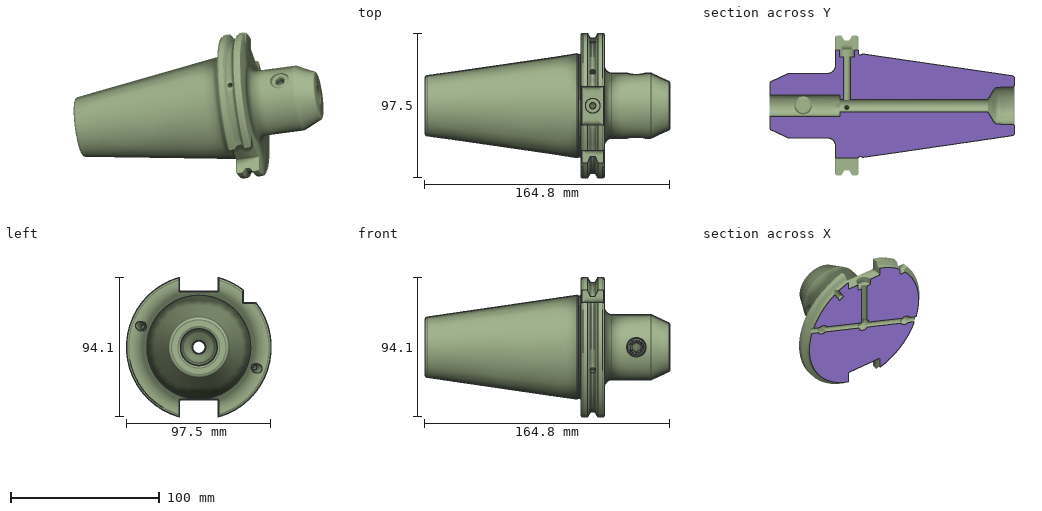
import cadquery as cq
import math


gauge_radius = 69.85 / 2
taper_length = 101.75
taper_slope = 7 / 48
tail_x = -taper_length
tail_radius = gauge_radius - taper_slope * taper_length
tail_fillet = 2.0
neck_start_x = 0.6
neck_radius = gauge_radius - 0.5
neck_groove_x = 1.6
neck_root_fillet = 0.6

flange_radius = 97.5 / 2
flange_front_x = 3.2
flange_back_x = 19.1
flange_edge_fillet = 1.5
groove_x = 11.15
groove_half_width = 3.5
groove_half_angle = math.radians(30)
groove_root_radius = 45.5
groove_root_fillet = 1.1

slot_width = 25.7
slot_floor_top = 37.7
slot_floor_bottom = 35.5
notch_corner = 30.0
cutout_chamfer = 0.6
cutout_corner_fillet = 0.5

pocket_diameter = 10.0
pocket_depth = 4.6
pocket_passage_diameter = 4.2

coolant_diameter = 6.3
coolant_radius = 41.5
coolant_angle = 20.0
coolant_tilt = 32.0
coolant_depth = 12.0
cross_hole_diameter = 3.6
balance_hole_angle = 60.0
balance_hole_depth = 8.0

nose_radius = 22.0
nose_end_x = 63.0
nose_blend = 4.85
nose_cone_x = 50.3
nose_cone_angle = math.radians(25)
nose_edge_blend = 1.5
nose_end_fillet = 1.2

cutter_overshoot = 1.0

tail_bore_radius = 12.5
tail_mouth_fillet = 1.5
tail_bore_length = 9.5
inner_bore_radius = 12.2
inner_bore_length = 3.0
drill_radius = 10.5
drill_point_angle = math.radians(59)
drill_tip_radius = 4.7
passage_radius = 4.1
tool_bore_radius = 7.0
tool_bore_length = 47.0

screw_x = nose_end_x - 22.5
screw_radius = 6.0
screw_outer_y = -21.3
screw_chamfer = 1.0
hexagon_width = 6.0
hexagon_depth = 6.0
hexagon_lead_in = 0.6
screw_mouth_radius = 6.5
screw_mouth_depth = 2.0
relief_depth = 3.0


def revolve_about_x(outline):
    """Turn a closed outline, drawn as (x, radius), a full turn about the X axis."""
    return outline.close().revolve(360, (0, 0, 0), (1, 0, 0))


def arc_middle(center, radius, degrees):
    """Point on an arc, used as the middle point of a quarter-circle fillet."""
    turn = math.radians(degrees)
    return (center[0] + radius * math.cos(turn), center[1] + radius * math.sin(turn))


def radial_hole(angle, inner_radius, outer_radius, diameter):
    """Cylinder in the V-groove plane; the angle is measured from +Y towards +Z."""
    direction = cq.Vector(0, math.cos(math.radians(angle)), math.sin(math.radians(angle)))
    start = cq.Vector(groove_x, 0, 0) + direction * inner_radius
    return cq.Workplane(cq.Solid.makeCylinder(diameter / 2, outer_radius - inner_radius, start, direction))


def taper():
    root_center = (flange_front_x - neck_root_fillet, neck_radius + neck_root_fillet)
    outline = (
        cq.Workplane("XZ")
        .moveTo(tail_x, 0)
        .lineTo(tail_x, tail_radius)
        .lineTo(neck_start_x, gauge_radius + taper_slope * neck_start_x)
        .lineTo(neck_groove_x, neck_radius)
        .lineTo(root_center[0], neck_radius)
        .threePointArc(arc_middle(root_center, neck_root_fillet, -45), (flange_front_x, root_center[1]))
        .lineTo(flange_front_x, 0)
    )
    return revolve_about_x(outline).faces("<X").edges().fillet(tail_fillet)


def flange():
    outline = (
        cq.Workplane("XZ")
        .moveTo(flange_front_x, 0)
        .lineTo(flange_front_x, flange_radius)
        .lineTo(flange_back_x, flange_radius)
        .lineTo(flange_back_x, 0)
    )
    disc = revolve_about_x(outline).edges().fillet(flange_edge_fillet)
    return disc.cut(v_groove()).cut(cutouts())


def v_groove():
    root_half_width = groove_half_width - (flange_radius - groove_root_radius) * math.tan(groove_half_angle)
    top_half_width = groove_half_width + cutter_overshoot * math.tan(groove_half_angle)
    outline = (
        cq.Workplane("XZ")
        .moveTo(groove_x - root_half_width, groove_root_radius)
        .lineTo(groove_x - top_half_width, flange_radius + cutter_overshoot)
        .lineTo(groove_x + top_half_width, flange_radius + cutter_overshoot)
        .lineTo(groove_x + root_half_width, groove_root_radius)
    )
    root = cq.selectors.RadiusNthSelector(0)
    return revolve_about_x(outline).edges(root).fillet(groove_root_fillet)


def cutout(y_min, y_max, z_min, z_max):
    """Rounded box through the flange along X, widened by a chamfer at both flange faces."""

    def section(x):
        return (
            cq.Workplane("YZ", origin=(x, 0, 0))
            .center((y_min + y_max) / 2, (z_min + z_max) / 2)
            .sketch()
            .rect(y_max - y_min, z_max - z_min)
            .vertices()
            .fillet(cutout_corner_fillet)
            .finalize()
        )

    box = section(flange_front_x).extrude(flange_back_x - flange_front_x)
    front_chamfer = section(flange_front_x + cutout_chamfer).extrude(-cutout_chamfer, taper=-45)
    back_chamfer = section(flange_back_x - cutout_chamfer).extrude(cutout_chamfer, taper=-45)
    return box.union(front_chamfer).union(back_chamfer)


def cutouts():
    beyond = flange_radius + cutter_overshoot
    top_slot = cutout(-slot_width / 2, slot_width / 2, slot_floor_top, beyond)
    bottom_slot = cutout(-slot_width / 2, slot_width / 2, -beyond, -slot_floor_bottom)
    notch = cutout(-beyond, -notch_corner, notch_corner, beyond)
    return top_slot.union(bottom_slot).union(notch)


def nose():
    end_radius = nose_radius - (nose_end_x - nose_cone_x) * math.tan(nose_cone_angle)
    blend_center = (flange_back_x + nose_blend, nose_radius + nose_blend)
    outline = (
        cq.Workplane("XZ")
        .moveTo(flange_back_x, 0)
        .lineTo(flange_back_x, blend_center[1])
        .threePointArc(arc_middle(blend_center, nose_blend, 225), (blend_center[0], nose_radius))
        .lineTo(nose_cone_x, nose_radius)
        .lineTo(nose_end_x, end_radius)
        .lineTo(nose_end_x, 0)
    )
    reach = nose_radius + cutter_overshoot
    cone_edge = cq.selectors.BoxSelector(
        (nose_cone_x - nose_edge_blend, -reach, -reach),
        (nose_cone_x + nose_edge_blend, reach, reach),
        boundingbox=True,
    )
    body = revolve_about_x(outline).faces(">X").edges().fillet(nose_end_fillet)
    return body.edges(cone_edge).fillet(nose_edge_blend)


def axial_bores():
    mouth_center = (tail_x + tail_mouth_fillet, tail_bore_radius + tail_mouth_fillet)
    inner_bore_x = tail_x + tail_bore_length
    chamfer_x = inner_bore_x + inner_bore_length
    drill_x = chamfer_x + inner_bore_radius - drill_radius
    passage_x = drill_x + (drill_radius - drill_tip_radius) / math.tan(drill_point_angle)
    tool_bore_x = nose_end_x - tool_bore_length
    outline = (
        cq.Workplane("XZ")
        .moveTo(tail_x, 0)
        .lineTo(tail_x, mouth_center[1])
        .threePointArc(arc_middle(mouth_center, tail_mouth_fillet, 225), (mouth_center[0], tail_bore_radius))
        .lineTo(inner_bore_x, tail_bore_radius)
        .lineTo(inner_bore_x, inner_bore_radius)
        .lineTo(chamfer_x, inner_bore_radius)
        .lineTo(drill_x, drill_radius)
        .lineTo(passage_x, drill_tip_radius)
        .lineTo(passage_x, passage_radius)
        .lineTo(tool_bore_x, passage_radius)
        .lineTo(tool_bore_x, tool_bore_radius)
        .lineTo(nose_end_x, tool_bore_radius)
        .lineTo(nose_end_x, 0)
    )
    return revolve_about_x(outline)


def data_pocket():
    pocket = (
        cq.Workplane("XY", origin=(groove_x, 0, slot_floor_top))
        .circle(pocket_diameter / 2)
        .extrude(-pocket_depth)
    )
    return pocket.union(radial_hole(90, 0, slot_floor_top, pocket_passage_diameter))


def coolant_hole(angle):
    """Blind hole from the flange face, leaning towards the axis, with its cross hole from the groove."""
    turn = math.radians(angle)
    tilt = math.radians(coolant_tilt)
    outward = cq.Vector(0, math.cos(turn), math.sin(turn))
    direction = cq.Vector(math.cos(tilt), 0, 0) - outward * math.sin(tilt)
    mouth = cq.Vector(flange_front_x, 0, 0) + outward * coolant_radius
    radius = coolant_diameter / 2
    start = mouth - direction * radius
    leaning = cq.Workplane(cq.Solid.makeCylinder(radius, coolant_depth + radius, start, direction))
    return leaning.union(radial_hole(angle, 0, flange_radius, cross_hole_diameter))


def screw_hole():
    """Screw hole on the -Y side with a wider mouth, and a matching shallow relief on the +Y side."""
    hole = cq.Workplane("XZ", origin=(screw_x, 0, 0)).circle(screw_radius).extrude(nose_radius)
    mouth = (
        cq.Workplane("XZ", origin=(screw_x, -nose_radius, 0))
        .circle(screw_mouth_radius)
        .extrude(-screw_mouth_depth)
    )
    relief = (
        cq.Workplane("XZ", origin=(screw_x, nose_radius, 0))
        .circle(screw_mouth_radius)
        .extrude(relief_depth)
    )
    return hole.union(mouth).union(relief)


def make_holder():
    body = taper().union(flange()).union(nose())
    body = body.cut(axial_bores()).cut(data_pocket())
    for angle in (coolant_angle, coolant_angle + 180):
        body = body.cut(coolant_hole(angle))
    balance_hole_floor = groove_root_radius - balance_hole_depth
    body = body.cut(radial_hole(balance_hole_angle, balance_hole_floor, flange_radius, cross_hole_diameter))
    return body.cut(screw_hole())


def make_screw():
    length = -screw_outer_y - tool_bore_radius
    screw = (
        cq.Workplane("XZ", origin=(screw_x, -tool_bore_radius, 0))
        .circle(screw_radius)
        .extrude(length)
        .edges()
        .chamfer(screw_chamfer)
    )
    corner_diameter = hexagon_width / math.cos(math.radians(30))
    mouth = cq.Workplane("XZ", origin=(screw_x, screw_outer_y, 0))
    socket = mouth.transformed(rotate=(0, 0, 90)).polygon(6, corner_diameter).extrude(-hexagon_depth)
    lead_in = (
        mouth.circle(corner_diameter / 2 + hexagon_lead_in)
        .workplane(offset=-2 * hexagon_lead_in)
        .circle(corner_diameter / 2 - hexagon_lead_in)
        .loft()
    )
    return screw.cut(socket).cut(lead_in)


holder = make_holder()
screw = make_screw()

result = cq.Compound.makeCompound([holder.solids().val(), screw.solids().val()])